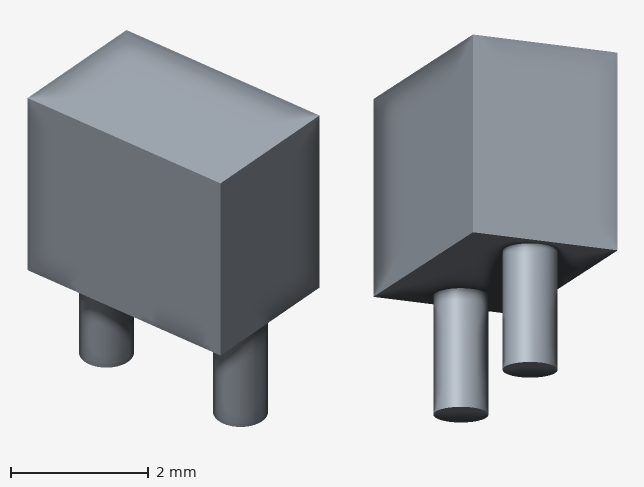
import cadquery as cq

body_length = 3.6
body_width = 2.3
body_height = 3.0
total_height = 4.8
pin_diameter = 0.8
pin_spacing = 2.5

pin_length = total_height - body_height


def make_housing():
    """Plain rectangular block whose underside lies on Z = 0."""
    return cq.Workplane("XY").box(body_length, body_width, body_height, centered=(True, True, False))


def make_pin(x):
    """Round pin hanging from the underside of the housing."""
    return cq.Workplane("XY").center(x, 0).circle(pin_diameter / 2).extrude(-pin_length)


housing = make_housing()
pins = [make_pin(side * pin_spacing / 2) for side in (-1, 1)]

result = cq.Compound.makeCompound([housing.val(), *[pin.val() for pin in pins]])